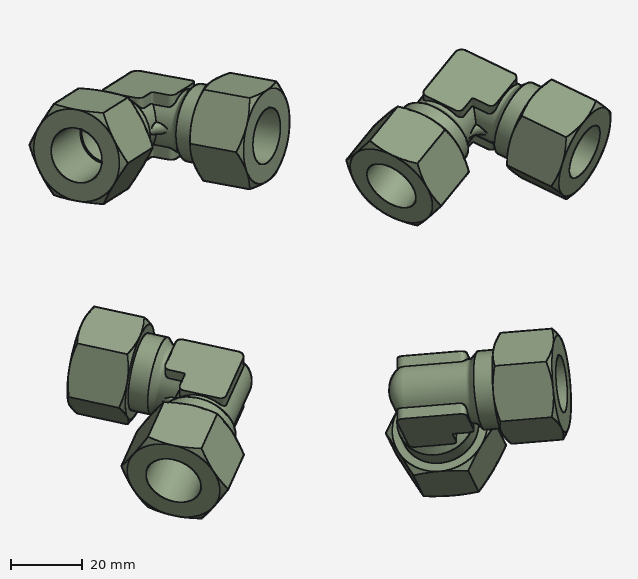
import cadquery as cq
import math


overall_length = 54.6
nut_across_flats = 27.0
nut_across_corners = nut_across_flats / math.cos(math.radians(30))
arm_reach = overall_length - nut_across_corners / 2

nut_length = 17.0
nut_chamfer_angle = 30.0
nut_bore_radius = 8.0
nut_start = arm_reach - nut_length

tube_radius = 9.0
collar_radius = 11.0
collar_length = 5.75
collar_start = nut_start - collar_length
cone_length = 1.6
neck_fillet_radius = 1.5
cone_angle = 45.0
bore_radius = 7.55
drill_tip_angle = 120.0

outer_bend_radius = 4.5
inner_bend_radius = 4.1
inner_web_radius = 1.75

pad_height = 19.15
pad_half_width_x = 6.45
pad_half_width_y = 6.75
pad_reach = 13.1
pad_heel_radius = 2.2
pad_end_radius = 1.65
pad_inner_radius = 0.55


def along_x(arm_part):
    """Turn a part built along -Y so that it lies along +X."""
    return arm_part.rotate((0, 0, 0), (0, 0, 1), 90)


def revolve_about_y(outline):
    return outline.close().revolve(360, (0, 0, 0), (0, 1, 0))


def make_arm():
    """Tube, filleted neck, cone and collar along -Y; the tube starts where the heel's bend ends."""
    cone_start = collar_start - cone_length
    cone_foot_radius = collar_radius - cone_length * math.tan(math.radians(cone_angle))
    turn = math.radians(cone_angle)
    neck_length = neck_fillet_radius * math.sin(turn)
    neck_start = cone_start - neck_length
    neck_mid = (
        tube_radius + neck_fillet_radius * (1 - math.cos(turn / 2)),
        -neck_start - neck_fillet_radius * math.sin(turn / 2),
    )
    outline = (
        cq.Workplane("XY")
        .moveTo(0, outer_bend_radius)
        .lineTo(tube_radius, outer_bend_radius)
        .lineTo(tube_radius, -neck_start)
        .threePointArc(neck_mid, (cone_foot_radius, -cone_start))
        .lineTo(collar_radius, -collar_start)
        .lineTo(collar_radius, -nut_start)
        .lineTo(0, -nut_start)
    )
    return revolve_about_y(outline)


def make_nut():
    """Hexagonal nut with both ends chamfered down to the across-flats circle."""
    hexagon = (
        cq.Workplane("XZ", origin=(0, -nut_start, 0))
        .polygon(6, nut_across_corners)
        .extrude(nut_length)
    )
    flat_radius = nut_across_flats / 2
    corner_radius = nut_across_corners / 2
    chamfer_depth = (corner_radius - flat_radius) * math.tan(math.radians(nut_chamfer_angle))
    chamfered_blank = (
        cq.Workplane("XY")
        .moveTo(0, -nut_start)
        .lineTo(flat_radius, -nut_start)
        .lineTo(corner_radius, -nut_start - chamfer_depth)
        .lineTo(corner_radius, -arm_reach + chamfer_depth)
        .lineTo(flat_radius, -arm_reach)
        .lineTo(0, -arm_reach)
    )
    return hexagon.intersect(revolve_about_y(chamfered_blank))


def make_bore():
    """Blind drilled bore with a conical tip, stepped wider inside the nut."""
    tip_length = bore_radius / math.tan(math.radians(drill_tip_angle / 2))
    outline = (
        cq.Workplane("XY")
        .moveTo(0, tip_length)
        .lineTo(bore_radius, 0)
        .lineTo(bore_radius, -nut_start)
        .lineTo(nut_bore_radius, -nut_start)
        .lineTo(nut_bore_radius, -arm_reach)
        .lineTo(0, -arm_reach)
    )
    return revolve_about_y(outline)


def make_outer_corner():
    """Rounded heel joining the two tubes: the outer side of the tube turned through 90 degrees."""
    half_height = math.sqrt(tube_radius**2 - outer_bend_radius**2)
    return (
        cq.Workplane("XZ", origin=(-outer_bend_radius, outer_bend_radius, 0))
        .moveTo(0, -half_height)
        .threePointArc((outer_bend_radius - tube_radius, 0), (0, half_height))
        .close()
        .revolve(90, (0, 0, 0), (0, -1, 0))
    )


def make_inner_corner():
    """Rounded web filling the inside corner between the two tubes."""
    bend_center = tube_radius + inner_bend_radius
    web_center_radius = inner_bend_radius + inner_web_radius
    return (
        cq.Workplane("XZ", origin=(bend_center, -bend_center, 0))
        .center(-web_center_radius, 0)
        .circle(inner_web_radius)
        .revolve(90, (web_center_radius, 0), (web_center_radius, -1))
    )


def make_pads():
    """L-shaped block whose top and bottom faces are the wrench pads."""
    block = (
        cq.Workplane("XY", origin=(0, 0, -pad_height / 2))
        .moveTo(-pad_half_width_x, pad_half_width_y)
        .lineTo(pad_reach, pad_half_width_y)
        .lineTo(pad_reach, -pad_half_width_y)
        .lineTo(pad_half_width_x, -pad_half_width_y)
        .lineTo(pad_half_width_x, -pad_reach)
        .lineTo(-pad_half_width_x, -pad_reach)
        .close()
        .extrude(pad_height)
    )

    def round_edge(solid, x, y, radius):
        return solid.edges(cq.selectors.NearestToPointSelector((x, y, 0))).fillet(radius)

    block = round_edge(block, -pad_half_width_x, pad_half_width_y, pad_heel_radius)
    block = round_edge(block, pad_half_width_x, -pad_half_width_y, pad_inner_radius)
    end_corners = [
        (pad_reach, pad_half_width_y),
        (pad_reach, -pad_half_width_y),
        (pad_half_width_x, -pad_reach),
        (-pad_half_width_x, -pad_reach),
    ]
    for x, y in end_corners:
        block = round_edge(block, x, y, pad_end_radius)
    return block


arm = make_arm().union(make_nut())
bore = make_bore()

result = (
    arm.union(along_x(arm))
    .union(make_pads())
    .union(make_outer_corner())
    .union(make_inner_corner())
    .cut(bore)
    .cut(along_x(bore))
)